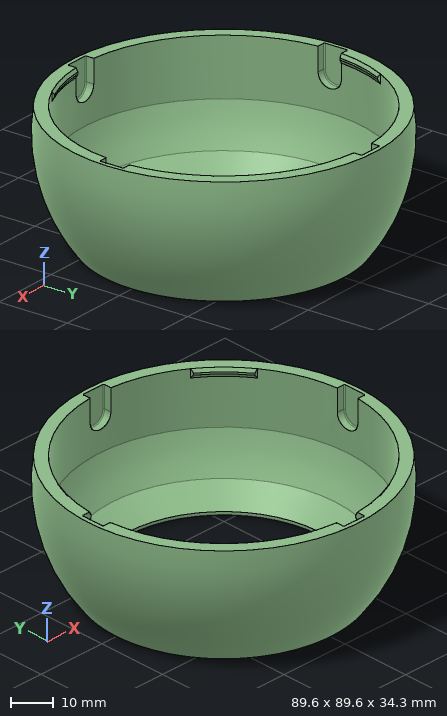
import cadquery as cq
import math

height = 34.3
outer_radius = 44.8
base_radius = 35.3
base_fillet = 0.4
wall = 3.0
sphere_z = math.sqrt(outer_radius**2 - base_radius**2)
inner_radius = outer_radius - wall

opening_radius = 30.9
lip_height = 1.2
seat_radius = 36.4
rim_bore_radius = 40.8

notch_count = 4
notch_width = 6.8
notch_depth = 9.95
notch_wall_radius = 43.0
notch_fillet = 0.3

tab_count = 3
tab_first_angle = 45.0
tab_span = 22.0
tab_height = 2.5
tab_projection = 0.5
tab_slope_height = 1.0
tab_end_slope = 0.8
tab_embed = 0.9


def height_on_sphere(sphere_radius, radius):
    """Height of the lower crossing of a sphere with a coaxial cylinder."""
    return sphere_z - math.sqrt(sphere_radius**2 - radius**2)


def make_shell():
    rim_radius = math.sqrt(outer_radius**2 - (height - sphere_z) ** 2)
    seat_z = height_on_sphere(inner_radius, seat_radius)
    bore_z = height_on_sphere(inner_radius, rim_bore_radius)
    mid_z = (seat_z + bore_z) / 2
    mid_radius = math.sqrt(inner_radius**2 - (sphere_z - mid_z) ** 2)
    profile = (
        cq.Workplane("XZ")
        .moveTo(opening_radius, 0)
        .lineTo(base_radius, 0)
        .threePointArc((outer_radius, sphere_z), (rim_radius, height))
        .lineTo(rim_bore_radius, height)
        .lineTo(rim_bore_radius, bore_z)
        .threePointArc((mid_radius, mid_z), (seat_radius, seat_z))
        .lineTo(opening_radius, lip_height)
        .close()
    )
    shell = profile.revolve(360, (0, 0, 0), (0, 1, 0))
    return shell.faces("<Z").edges().fillet(base_fillet)


def make_notch():
    """Cutter on the +X side: a slot with a round bottom and a filleted back edge."""
    half_width = notch_width / 2
    bottom_z = height - notch_depth
    arc_z = bottom_z + half_width
    start_radius = rim_bore_radius - 2 * wall
    top_z = height + wall
    cutter = (
        cq.Workplane("YZ", origin=(start_radius, 0, 0))
        .moveTo(-half_width, top_z)
        .lineTo(-half_width, arc_z)
        .threePointArc((0, bottom_z), (half_width, arc_z))
        .lineTo(half_width, top_z)
        .close()
        .extrude(notch_wall_radius - start_radius)
    )
    return cutter.faces(">X").edges("%CIRCLE").fillet(notch_fillet)


def make_tab():
    """Bar along the bore, centred on +X, with sloped top, bottom and ends."""
    crest_radius = rim_bore_radius - tab_projection
    back_radius = rim_bore_radius + tab_embed
    bottom_z = height - tab_height
    profile = (
        cq.Workplane("XZ")
        .moveTo(back_radius, bottom_z)
        .lineTo(rim_bore_radius, bottom_z)
        .lineTo(crest_radius, bottom_z + tab_slope_height)
        .lineTo(crest_radius, height - tab_slope_height)
        .lineTo(rim_bore_radius, height)
        .lineTo(back_radius, height)
        .close()
    )
    ring = profile.revolve(360, (0, 0, 0), (0, 1, 0))
    half_angle = math.radians(tab_span / 2)
    end_x = rim_bore_radius * math.cos(half_angle)
    end_y = rim_bore_radius * math.sin(half_angle)
    inner_x = end_x - tab_projection
    inner_y = end_y - tab_end_slope
    outer_x = back_radius + tab_embed
    outline = [
        (inner_x, -inner_y),
        (end_x, -end_y),
        (outer_x, -end_y),
        (outer_x, end_y),
        (end_x, end_y),
        (inner_x, inner_y),
    ]
    stretch = cq.Workplane("XY").polyline(outline).close().extrude(height)
    return ring.intersect(stretch)


result = make_shell()
tab = make_tab()
for i in range(tab_count):
    angle = tab_first_angle + i * 360 / tab_count
    result = result.union(tab.rotate((0, 0, 0), (0, 0, 1), angle))

notch = make_notch()
for i in range(notch_count):
    result = result.cut(notch.rotate((0, 0, 0), (0, 0, 1), i * 360 / notch_count))